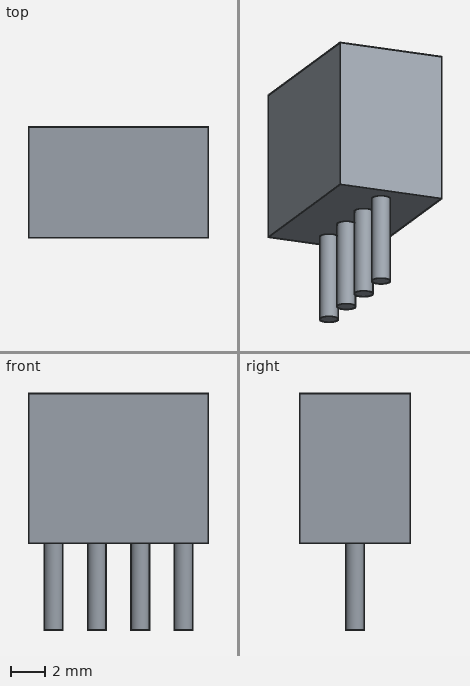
import cadquery as cq

body_length = 10.56
body_width = 6.5
total_height = 13.9

pin_count = 4
pin_diameter = 1.1
pin_pitch = 2.55
pin_length = 5.1

body_height = total_height - pin_length


def make_body():
    """Rectangular block standing on the plane Z = 0."""
    return cq.Workplane("XY").box(
        body_length, body_width, body_height, centered=(True, True, False)
    )


def make_pin(x):
    """Round pin hanging from the underside of the body at the given X."""
    return cq.Workplane("XY").center(x, 0).circle(pin_diameter / 2).extrude(-pin_length)


body = make_body()

first_pin_x = -pin_pitch * (pin_count - 1) / 2
pins = [make_pin(first_pin_x + i * pin_pitch) for i in range(pin_count)]

result = cq.Compound.makeCompound([body.val(), *[pin.val() for pin in pins]])